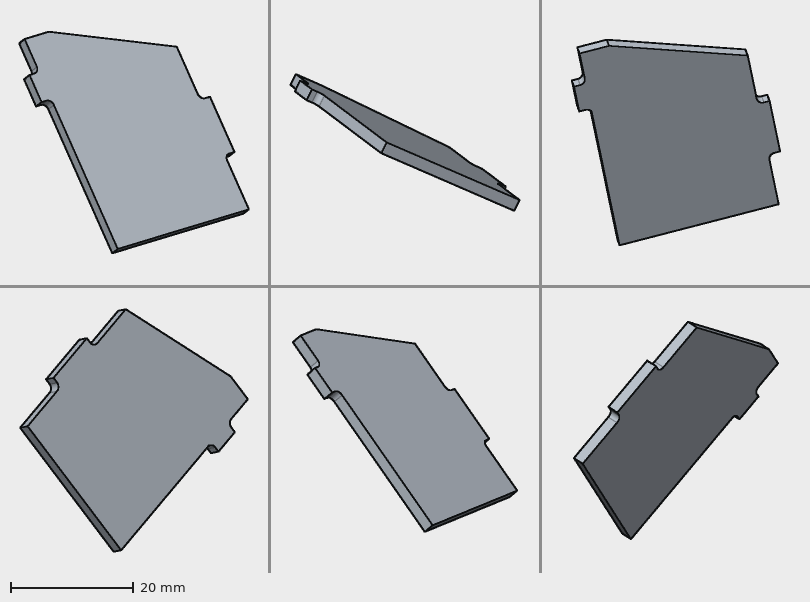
import cadquery as cq
import math

tilt = 48.8
thickness = 2.0
plate_length = 38.25
back_length = 29.65
plate_width = 27.0
top_edge_width = 5.0

tab_depth = thickness
front_tab_start, front_tab_end = 27.28, 32.25
back_tab_start, back_tab_end = 9.92, 20.0
tab_root_radius = 1.0


def make_body():
    """Plate blank with one slanted corner; local x runs up the slope, y across it."""
    outline = [
        (0, 0),
        (plate_length, 0),
        (plate_length, top_edge_width),
        (back_length, plate_width),
        (0, plate_width),
    ]
    return cq.Workplane("XY").polyline(outline).close().extrude(thickness)


def make_tab(start, end, edge_y, outward):
    """Rectangular tab with flared, rounded roots; outward is +1 or -1 along y."""
    r = tab_root_radius
    root_y = edge_y + outward * r
    tip_y = edge_y + outward * tab_depth
    arc_inset = r * (1 - math.sqrt(0.5))
    arc_y = edge_y + outward * arc_inset
    return (
        cq.Workplane("XY")
        .moveTo(start - r, edge_y)
        .threePointArc((start - arc_inset, arc_y), (start, root_y))
        .lineTo(start, tip_y)
        .lineTo(end, tip_y)
        .lineTo(end, root_y)
        .threePointArc((end + arc_inset, arc_y), (end + r, edge_y))
        .close()
        .extrude(thickness)
    )


flat_plate = (
    make_body()
    .union(make_tab(front_tab_start, front_tab_end, 0, -1))
    .union(make_tab(back_tab_start, back_tab_end, plate_width, 1))
)

slope = math.radians(tilt)
slope_plane = cq.Plane(
    origin=(0, 0, 0),
    xDir=(-math.cos(slope), 0, math.sin(slope)),
    normal=(-math.sin(slope), 0, -math.cos(slope)),
)
result = cq.Workplane(obj=flat_plate.val().moved(cq.Location(slope_plane)))